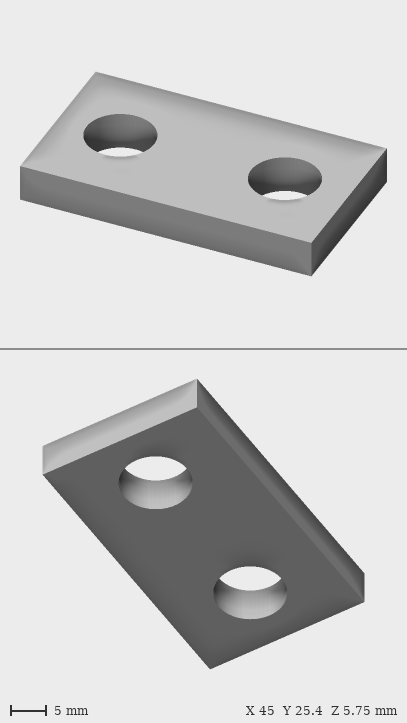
import cadquery as cq

plate_length = 44.96
plate_width = 25.4
plate_thickness = 5.75

hole_diameter = 10.41
hole_spacing = 25.4
left_edge_to_first_hole = 9.65


def make_plate():
    """Rectangular plate centred on the origin in X and Y, resting on Z = 0."""
    return cq.Workplane("XY").box(
        plate_length, plate_width, plate_thickness, centered=(True, True, False)
    )


def drill_holes(plate):
    """Drill the pair of holes through the full thickness, located from the -X edge."""
    first_hole_x = -plate_length / 2 + left_edge_to_first_hole
    hole_centres = [(first_hole_x, 0), (first_hole_x + hole_spacing, 0)]
    return plate.faces(">Z").workplane().pushPoints(hole_centres).hole(hole_diameter)


result = drill_holes(make_plate())